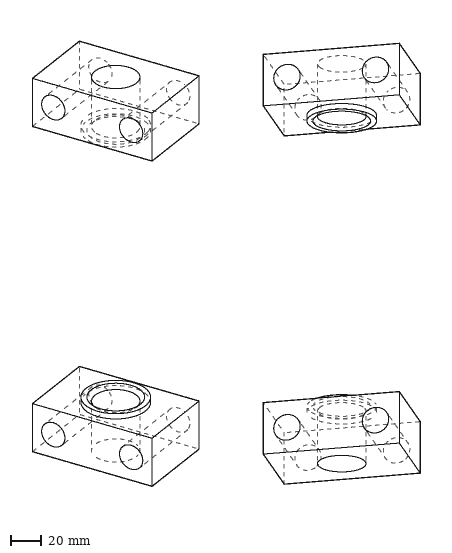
import cadquery as cq

total_height = 280.0
block_length = 92.0
block_width = 60.0
block_height = 36.0

collar_diameter = 46.0
collar_height = 4.0
bore_diameter = 32.0
bore_chamfer = 3.0

bolt_diameter = 18.0
bolt_spacing = 60.0
bolt_height = 17.5

block_and_collar_height = block_height + collar_height


def make_bearing_block():
    """Block standing on Z = 0 with its collar pointing up."""
    block = cq.Workplane("XY").box(block_length, block_width, block_height, centered=(True, True, False))
    collar = (
        cq.Workplane("XY")
        .workplane(offset=block_height)
        .circle(collar_diameter / 2)
        .extrude(collar_height)
    )
    body = block.union(collar)

    bore = cq.Workplane("XY").circle(bore_diameter / 2).extrude(block_and_collar_height)
    body = body.cut(bore)
    body = body.faces(">Z").edges(cq.selectors.RadiusNthSelector(0)).chamfer(bore_chamfer)

    bolt_holes = (
        cq.Workplane("XZ")
        .pushPoints([(side * bolt_spacing / 2, bolt_height) for side in (-1, 1)])
        .circle(bolt_diameter / 2)
        .extrude(block_width / 2, both=True)
    )
    return body.cut(bolt_holes)


bearing_blocks = []
for turn, base_height in ((0, 0), (180, total_height)):
    block = make_bearing_block().rotate((0, 0, 0), (1, 0, 0), turn).translate((0, 0, base_height))
    bearing_blocks.append(block.val())

result = cq.Compound.makeCompound(bearing_blocks)